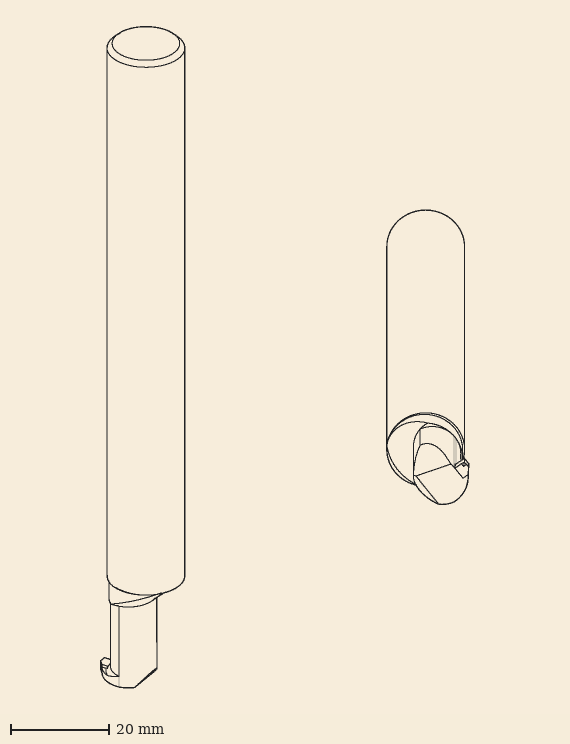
import cadquery as cq

overall_length = 150.0
shank_radius = 8.0
shank_bottom = 24.8
shank_chamfer = 1.0

neck_left = -7.5
neck_right = 1.6
neck_middle = (neck_left + neck_right) / 2
neck_half_width = 5.7
neck_rise = neck_middle - neck_left
neck_arc_radius = (neck_rise**2 + neck_half_width**2) / (2 * neck_rise)
neck_land_width = 0.6
neck_land_x = neck_left + neck_arc_radius - (neck_arc_radius**2 - (neck_land_width / 2) ** 2) ** 0.5
heel_chamfer_x = 1.8
heel_chamfer_z = 2.4

collar_radius = 7.8
collar_bottom = 19.5
relief_widening = 5.5
relief_centre = neck_right - neck_arc_radius

head_bottom = 0.5
head_top = 2.0
head_arc_middle = (-6.9, -4.6)
root_width = 0.9
root_height = 1.0

tip_left = -9.9
tip_top = 2.5
tip_land = 1.5
tip_heel_x = -8.8
tip_back = -2.7
nose_width = 0.8

chip_slope_along_x = 0.31
chip_slope_along_z = 0.34
chip_start_y = 1.2
chip_block_size = 24.0
chip_block_depth = 12.0


def vertical_cylinder(centre_x, radius, bottom, top):
    return cq.Workplane().workplane(offset=bottom).center(centre_x, 0).circle(radius).extrude(top - bottom)


def vertical_cone(centre_x, bottom_radius, top_radius, bottom, top):
    height = top - bottom
    cone = cq.Solid.makeCone(bottom_radius, top_radius, height, pnt=cq.Vector(centre_x, 0, bottom))
    return cq.Workplane(cone)


def make_shank():
    shank = vertical_cylinder(0, shank_radius, shank_bottom, overall_length)
    return shank.faces(">Z").chamfer(shank_chamfer)


def make_collar():
    step = vertical_cylinder(neck_left + collar_radius, collar_radius, collar_bottom, shank_bottom)
    top_radius = neck_arc_radius + relief_widening
    relief = vertical_cone(relief_centre, neck_arc_radius, top_radius, collar_bottom, shank_bottom)
    return step.intersect(relief)


def make_neck():
    half_land = neck_land_width / 2
    neck = (
        cq.Workplane()
        .workplane(offset=head_bottom)
        .moveTo(neck_middle, -neck_half_width)
        .threePointArc((neck_right, 0), (neck_middle, neck_half_width))
        .radiusArc((neck_land_x, half_land), -neck_arc_radius)
        .lineTo(neck_land_x, -half_land)
        .radiusArc((neck_middle, -neck_half_width), -neck_arc_radius)
        .close()
        .extrude(collar_bottom - head_bottom)
    )
    heel = (
        cq.Workplane("XZ")
        .moveTo(neck_right, head_bottom)
        .lineTo(neck_right - heel_chamfer_x, head_bottom)
        .lineTo(neck_right, head_bottom + heel_chamfer_z)
        .close()
        .extrude(neck_half_width, both=True)
    )
    return neck.cut(heel)


def head_prism(top):
    return (
        cq.Workplane()
        .workplane(offset=head_bottom)
        .moveTo(neck_left, 0)
        .lineTo(neck_left, tip_back)
        .lineTo(tip_heel_x, tip_back)
        .threePointArc(head_arc_middle, (neck_middle, -neck_half_width))
        .lineTo(neck_middle, 0)
        .close()
        .extrude(top - head_bottom)
    )


def make_head():
    root_top = head_top + root_height
    root_centre = neck_left + neck_arc_radius
    root = vertical_cone(root_centre, neck_arc_radius + root_width, neck_arc_radius, head_top, root_top)
    return head_prism(head_top).union(root.intersect(head_prism(root_top)))


def make_chip_relief():
    plane = cq.Plane(
        origin=(neck_left, chip_start_y, head_bottom),
        xDir=(1, chip_slope_along_x, 0),
        normal=(-chip_slope_along_x, 1, -chip_slope_along_z),
    )
    return cq.Workplane(plane).rect(chip_block_size, chip_block_size).extrude(chip_block_depth)


def make_tip():
    plan = (
        cq.Workplane()
        .polyline([
            (tip_left, 0), (neck_left, 0), (neck_left, tip_back),
            (tip_heel_x, tip_back), (tip_left, -tip_land),
        ])
        .close()
        .extrude(tip_top)
    )
    relief_along_x = (
        cq.Workplane("XZ")
        .polyline([(tip_left, 0), (tip_left + nose_width, head_bottom), (neck_left, head_bottom), (neck_left, 0)])
        .close()
        .extrude(-tip_back)
    )
    relief_along_y = (
        cq.Workplane("YZ")
        .workplane(offset=tip_left)
        .polyline([(0, 0), (-nose_width, head_bottom), (tip_back, head_bottom), (tip_back, 0)])
        .close()
        .extrude(neck_left - tip_left)
    )
    return plan.cut(relief_along_x).cut(relief_along_y).solids()


def make_bar(tip_body):
    stem = make_shank().union(make_collar())
    foot = make_neck().cut(make_chip_relief()).union(make_head())
    return stem.union(foot).cut(tip_body).solids()


tip = make_tip()
bar = make_bar(tip)

result = cq.Compound.makeCompound([bar.val(), tip.val()])